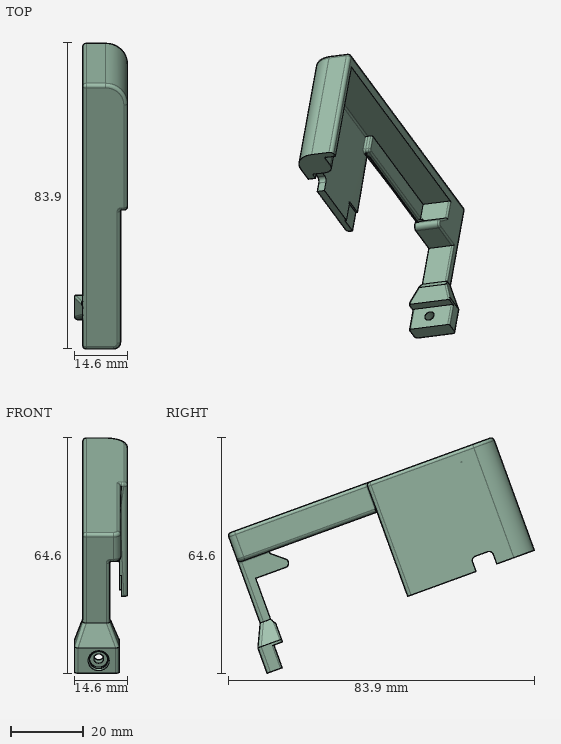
import cadquery as cq
import math

TILT_ANGLE = 20.0

BODY_LENGTH = 77.53
WIDE_WIDTH = 12.3
NARROW_WIDTH = 10.45
WIDE_LENGTH = 37.0
SHELL_DEPTH = 33.1
BACK_CORNER_RADIUS = 6.0
FRONT_CORNER_RADIUS = 2.0
OUTER_FILLET = 1.0
INNER_FILLET = 0.5
STEP_FILLET = 0.2

BACK_WALL = 2.1
TOP_WALL = 3.5
SIDE_WALL = 2.2
SKIRT_DEPTH = 8.5
SKIRT_START = 34.35
SKIRT_END = 68.4
SKIRT_CORNER_RADIUS = 0.8
COLUMN_FACE = 3.3
COLUMN_RADIUS = 3.0
SHELL_FLOOR = WIDE_WIDTH - SIDE_WALL
SKIRT_FLOOR = NARROW_WIDTH - SIDE_WALL

NOTCH_START = 11.0
NOTCH_WIDTH = 6.0
NOTCH_HEIGHT = 4.0
NOTCH_RADIUS = 1.2
RELIEF_LENGTH = 5.2
RELIEF_HEIGHT = 6.1
RELIEF_DEPTH = 0.5

FINGER_DEPTH = 14.2
FINGER_ROOT_DEPTH = 9.1
FINGER_POINT = 62.3
FINGER_TIP_RADIUS = 1.25
LEG_WIDTH = 7.5
LEG_THICKNESS = 3.1
LEG_START = BODY_LENGTH - LEG_THICKNESS
LEG_END = 26.1

HEAD_LEFT = -2.25
HEAD_WIDTH = 12.3
HEAD_FRONT = 80.45
HEAD_BACK = 73.5
HEAD_FLARE = 3.4
FLARE_END = 32.3
LIP_END = SHELL_DEPTH
TONGUE_BACK = 76.0
HEAD_END = 39.73

SCREW_X = 4.4
SCREW_DEPTH = (FLARE_END + HEAD_END) / 2
SCREW_DIAMETER = 2.7
COUNTERBORE_DIAMETER = 5.0
COUNTERBORE_DEPTH = 1.6
COUNTERBORE_CHAMFER = 0.4
CHAMFER_ANGLE = 45

CLEARANCE = 5.0
MARGIN = 0.1


def block(x_range, along_range, down_range):
    """Box between two X values, two distances along and two distances down."""
    return cq.Workplane("XY").box(
        x_range[1] - x_range[0],
        along_range[1] - along_range[0],
        down_range[1] - down_range[0],
        centered=False,
    ).translate((x_range[0], -along_range[1], -down_range[1]))


def edges_near(x_range, along_range, down_range):
    """Selector for edges whose centre lies in the given upright box."""
    return cq.selectors.BoxSelector(
        (x_range[0], -along_range[1], -down_range[1]),
        (x_range[1], -along_range[0], -down_range[0]),
    )


def side_prism(points, start_x, end_x):
    """Prism along X over an outline given as (along, down) points."""
    outline = [(-along, -down) for along, down in points]
    return cq.Workplane("YZ", origin=(start_x, 0, 0)).polyline(outline).close().extrude(end_x - start_x)


def outer_body():
    """Solid envelope with rounded outer edges; the leg side is stepped in below the skirt."""
    body = (
        cq.Workplane("XY")
        .moveTo(0, 0)
        .lineTo(WIDE_WIDTH - BACK_CORNER_RADIUS, 0)
        .radiusArc((WIDE_WIDTH, -BACK_CORNER_RADIUS), BACK_CORNER_RADIUS)
        .lineTo(WIDE_WIDTH, -WIDE_LENGTH)
        .lineTo(NARROW_WIDTH, -WIDE_LENGTH)
        .lineTo(NARROW_WIDTH, FRONT_CORNER_RADIUS - BODY_LENGTH)
        .radiusArc((NARROW_WIDTH - FRONT_CORNER_RADIUS, -BODY_LENGTH), FRONT_CORNER_RADIUS)
        .lineTo(0, -BODY_LENGTH)
        .close()
        .extrude(-SHELL_DEPTH)
    )
    body = body.cut(block(
        (LEG_WIDTH, WIDE_WIDTH + CLEARANCE),
        (WIDE_LENGTH, BODY_LENGTH + CLEARANCE),
        (SKIRT_DEPTH, SHELL_DEPTH),
    ))
    step_corners = edges_near(
        (NARROW_WIDTH - MARGIN, NARROW_WIDTH + MARGIN),
        (WIDE_LENGTH - MARGIN, WIDE_LENGTH + MARGIN),
        (0, SKIRT_DEPTH),
    ) + edges_near(
        (LEG_WIDTH - MARGIN, LEG_WIDTH + MARGIN),
        (WIDE_LENGTH, BODY_LENGTH),
        (SKIRT_DEPTH - MARGIN, SKIRT_DEPTH + MARGIN),
    )
    body = body.edges(step_corners).fillet(STEP_FILLET)
    wide_corner = edges_near(
        (WIDE_WIDTH - MARGIN, WIDE_WIDTH + MARGIN),
        (WIDE_LENGTH - MARGIN, WIDE_LENGTH + MARGIN),
        (0, SHELL_DEPTH),
    )
    front_edges = edges_near(
        (-MARGIN, NARROW_WIDTH + MARGIN),
        (BODY_LENGTH - FRONT_CORNER_RADIUS, BODY_LENGTH + MARGIN),
        (SKIRT_DEPTH - MARGIN, SHELL_DEPTH - MARGIN),
    )
    rounded = (
        body.faces(">Z").edges()
        .add(body.edges("|Z and <X"))
        .add(body.edges(wide_corner))
        .add(body.edges(front_edges))
    )
    return body.newObject(rounded.vals()).fillet(OUTER_FILLET)


def opening():
    """Space beyond the side wall and below the skirt, leaving the finger and the leg standing."""
    space = side_prism(
        [
            (WIDE_LENGTH, SKIRT_DEPTH),
            (SKIRT_END, SKIRT_DEPTH),
            (SKIRT_END, FINGER_ROOT_DEPTH),
            (FINGER_POINT, FINGER_DEPTH),
            (LEG_START, FINGER_DEPTH),
            (LEG_START, SHELL_DEPTH + CLEARANCE),
            (WIDE_LENGTH, SHELL_DEPTH + CLEARANCE),
        ],
        -CLEARANCE,
        WIDE_WIDTH + CLEARANCE,
    )
    tip = edges_near(
        (-math.inf, math.inf),
        (FINGER_POINT - MARGIN, FINGER_POINT + MARGIN),
        (FINGER_DEPTH - MARGIN, FINGER_DEPTH + MARGIN),
    )
    return space.edges(tip).fillet(FINGER_TIP_RADIUS)


def wide_pocket():
    """Pocket behind the side wall, with a round column left standing in the back corner."""
    column_end = BACK_CORNER_RADIUS + COLUMN_RADIUS
    pocket = (
        cq.Workplane("XY", origin=(0, 0, -TOP_WALL))
        .moveTo(-CLEARANCE, -BACK_WALL)
        .lineTo(COLUMN_FACE, -BACK_WALL)
        .lineTo(COLUMN_FACE, -BACK_CORNER_RADIUS)
        .radiusArc((COLUMN_FACE + COLUMN_RADIUS, -column_end), -COLUMN_RADIUS)
        .lineTo(SHELL_FLOOR, -column_end)
        .lineTo(SHELL_FLOOR, -WIDE_LENGTH - CLEARANCE)
        .lineTo(-CLEARANCE, -WIDE_LENGTH - CLEARANCE)
        .close()
        .extrude(-SHELL_DEPTH)
    )
    past_wall = block(
        (-2 * CLEARANCE, WIDE_WIDTH),
        (WIDE_LENGTH, WIDE_LENGTH + 2 * CLEARANCE),
        (0, 2 * SHELL_DEPTH),
    )
    concave = (
        edges_near((0, SHELL_FLOOR + MARGIN), (0, WIDE_LENGTH + CLEARANCE), (TOP_WALL - MARGIN, TOP_WALL + MARGIN))
        + edges_near((0, COLUMN_FACE + MARGIN), (0, BACK_WALL + MARGIN), (TOP_WALL, 2 * SHELL_DEPTH))
    )
    floor_corner = edges_near(
        (SHELL_FLOOR - MARGIN, SHELL_FLOOR + MARGIN),
        (column_end - MARGIN, column_end + MARGIN),
        (TOP_WALL, 2 * SHELL_DEPTH),
    )
    pocket = pocket.edges(concave + floor_corner).fillet(INNER_FILLET)
    return pocket.cut(past_wall)


def skirt_pocket():
    """Pocket between the top wall and the skirt, open downward."""
    return block((-CLEARANCE, SKIRT_FLOOR), (WIDE_LENGTH - CLEARANCE, SKIRT_END), (TOP_WALL, SKIRT_DEPTH))


def skirt_stub():
    """Part of the skirt that reaches into the wide pocket, flared where it meets the side wall."""
    stub = block((SKIRT_FLOOR, WIDE_WIDTH), (SKIRT_START, SKIRT_END), (-CLEARANCE, SKIRT_DEPTH))
    free_corner = edges_near(
        (SKIRT_FLOOR, WIDE_WIDTH),
        (SKIRT_START - MARGIN, SKIRT_START + MARGIN),
        (SKIRT_DEPTH - MARGIN, SKIRT_DEPTH + MARGIN),
    )
    stub = stub.edges(free_corner).fillet(SKIRT_CORNER_RADIUS)
    wall = block((SHELL_FLOOR, WIDE_WIDTH), (0, SKIRT_END), (-CLEARANCE, SHELL_DEPTH))
    root = edges_near(
        (SHELL_FLOOR - MARGIN, SHELL_FLOOR + MARGIN),
        (SKIRT_START - MARGIN, SKIRT_END - MARGIN),
        (-CLEARANCE + MARGIN, SKIRT_DEPTH + MARGIN),
    )
    flared = stub.union(wall).edges(root).fillet(INNER_FILLET)
    return flared.intersect(block(
        (SKIRT_FLOOR, NARROW_WIDTH),
        (SKIRT_START - CLEARANCE, WIDE_LENGTH),
        (TOP_WALL, SKIRT_DEPTH + INNER_FILLET),
    ))


def wall_end_rounding():
    """Waste outside the rounded inner edge at the free end of the side wall."""
    down_range = (SKIRT_DEPTH, SHELL_DEPTH)
    centre_x = SHELL_FLOOR + INNER_FILLET
    centre_along = WIDE_LENGTH - INNER_FILLET
    corner = block((SHELL_FLOOR, centre_x), (centre_along, WIDE_LENGTH), down_range)
    kept = (
        cq.Workplane("XY", origin=(centre_x, -centre_along, -down_range[0]))
        .circle(INNER_FILLET)
        .extrude(down_range[0] - down_range[1])
    )
    return corner.cut(kept)


def bottom_notch():
    """Rounded notch in the bottom edge of the side wall."""
    notch = block(
        (0, WIDE_WIDTH + CLEARANCE),
        (NOTCH_START, NOTCH_START + NOTCH_WIDTH),
        (SHELL_DEPTH - NOTCH_HEIGHT, SHELL_DEPTH + CLEARANCE),
    )
    return notch.edges("|X and >Z").fillet(NOTCH_RADIUS)


def corner_relief():
    """Shallow step on the inside of the side wall, in its free bottom corner."""
    return block(
        (0, SHELL_FLOOR + RELIEF_DEPTH),
        (WIDE_LENGTH - RELIEF_LENGTH, WIDE_LENGTH + CLEARANCE),
        (SHELL_DEPTH - RELIEF_HEIGHT, SHELL_DEPTH + CLEARANCE),
    )


def head_section(x_range, along_range, down):
    """Rectangle with rounded front corners, lying at the given depth."""
    left, right = x_range
    back, front = along_range
    return (
        cq.Workplane("XY", origin=(0, 0, -down))
        .moveTo(left, -back)
        .lineTo(left, OUTER_FILLET - front)
        .radiusArc((left + OUTER_FILLET, -front), -OUTER_FILLET)
        .lineTo(right - OUTER_FILLET, -front)
        .radiusArc((right, OUTER_FILLET - front), -OUTER_FILLET)
        .lineTo(right, -back)
        .close()
    )


def head():
    """Flared head at the end of the leg, with a stepped tongue and a counterbored screw hole."""
    head_x = (HEAD_LEFT, HEAD_LEFT + HEAD_WIDTH)
    head_along = (LEG_START - HEAD_FLARE, HEAD_FRONT)
    top_wire = head_section((0, LEG_WIDTH), (LEG_START, BODY_LENGTH), LEG_END).wire().val()
    flare_wire = head_section(head_x, head_along, FLARE_END).wire().val()
    flare = cq.Workplane(cq.Solid.makeLoft([top_wire, flare_wire], True))
    tongue = head_section(head_x, head_along, FLARE_END).extrude(FLARE_END - HEAD_END)
    body = flare.union(tongue)
    behind_lip = block((-CLEARANCE, WIDE_WIDTH), (0, HEAD_BACK), (0, HEAD_END + CLEARANCE))
    behind_tongue = block((-CLEARANCE, WIDE_WIDTH), (0, TONGUE_BACK), (LIP_END, HEAD_END + CLEARANCE))
    body = body.cut(behind_lip).cut(behind_tongue)
    back_edges = edges_near(
        (HEAD_LEFT - MARGIN, LEG_WIDTH + CLEARANCE),
        (HEAD_BACK - MARGIN, HEAD_BACK + MARGIN),
        (LEG_END + HEAD_FLARE / 2, LIP_END - MARGIN),
    ) + edges_near(
        (HEAD_LEFT - MARGIN, LEG_WIDTH + CLEARANCE),
        (TONGUE_BACK - MARGIN, TONGUE_BACK + MARGIN),
        (LIP_END + MARGIN, HEAD_END - MARGIN),
    )
    return body.edges(back_edges).fillet(INNER_FILLET).cut(screw_hole())


def screw_hole():
    """Through hole with a counterbore and a chamfered rim in the front face of the head."""
    front_plane = cq.Workplane("XZ", origin=(SCREW_X, -HEAD_FRONT, -SCREW_DEPTH))
    rim_radius = COUNTERBORE_DIAMETER / 2 + COUNTERBORE_CHAMFER
    through = front_plane.circle(SCREW_DIAMETER / 2).extrude(-HEAD_FLARE - CLEARANCE)
    counterbore = front_plane.circle(COUNTERBORE_DIAMETER / 2).extrude(-COUNTERBORE_DEPTH)
    rim = front_plane.circle(rim_radius).extrude(-COUNTERBORE_CHAMFER, taper=CHAMFER_ANGLE)
    return through.union(counterbore).union(rim)


def shell():
    """Hollowed body with the leg cut to length."""
    leg_tail = block(
        (-CLEARANCE, LEG_WIDTH + CLEARANCE),
        (WIDE_LENGTH + CLEARANCE, BODY_LENGTH + CLEARANCE),
        (LEG_END, SHELL_DEPTH + CLEARANCE),
    )
    body = outer_body().cut(opening()).cut(leg_tail).cut(wide_pocket()).cut(skirt_pocket())
    body = body.union(skirt_stub())
    skirt_edges = edges_near(
        (SKIRT_FLOOR - MARGIN, SKIRT_FLOOR + MARGIN),
        (SKIRT_START - MARGIN, SKIRT_END - MARGIN),
        (TOP_WALL + MARGIN, SKIRT_DEPTH + MARGIN),
    )
    finger_and_leg = edges_near(
        (-MARGIN, MARGIN),
        (FINGER_POINT, LEG_START + MARGIN),
        (TOP_WALL + MARGIN, LEG_END - MARGIN),
    )
    body = body.edges(skirt_edges + finger_and_leg).fillet(INNER_FILLET)
    return body.cut(wall_end_rounding()).cut(bottom_notch()).cut(corner_relief())


result = shell().union(head()).rotate((0, 0, 0), (1, 0, 0), TILT_ANGLE)